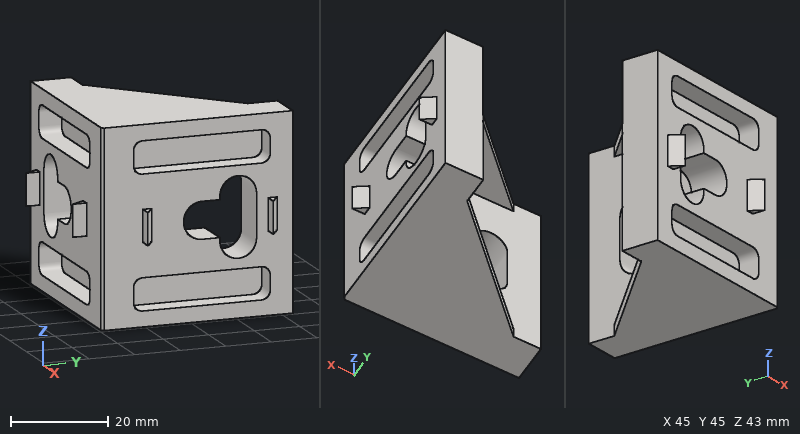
import cadquery as cq

overall_length = 45.0
tooth_length = 3.0
leg_length = overall_length - tooth_length
leg_thickness = 9.0
height = 43.0
corner_chamfer = 0.5

web_thickness = 2.5
web_end_distance = 6.55

tooth_width = 7.0
tooth_base = 2.0
tooth_end_distance = 5.5
tooth_spacing = 27.5

slot_width = 8.0
slot_end_distance = 8.0
cross_slot_length = 17.5
stem_reach = 15.98

recess_length = 30.0
recess_width = 7.05
recess_depth = 5.0
recess_corner_radius = 2.0
recess_end_distance = 5.0
recess_offset = 14.55

free_end = -leg_length
MIRROR_NORMAL = (1, 1, 0)


def on_both_legs(shape):
    """Return the shape together with its copy on the other leg."""
    return shape.union(shape.mirror(MIRROR_NORMAL))


def front_plane():
    """Outer face of the -X leg; local Y is up and the normal points outward."""
    return cq.Workplane("XZ")


def make_leg():
    block = cq.Workplane("XY").box(leg_length, leg_thickness, height, centered=(False, False, True))
    return block.translate((free_end, 0, 0))


def make_web(bottom):
    slope_start = free_end + web_end_distance
    outline = [
        (0, 0),
        (slope_start, 0),
        (slope_start, leg_thickness),
        (-leg_thickness, -slope_start),
        (0, -slope_start),
    ]
    return cq.Workplane("XY").workplane(offset=bottom).polyline(outline).close().extrude(web_thickness)


def make_tooth(tip_x):
    outline = [(tip_x - tooth_base, 0), (tip_x, 0), (tip_x, -tooth_length)]
    return cq.Workplane("XY").polyline(outline).close().extrude(tooth_width / 2, both=True)


def make_mounting_hole():
    radius = slot_width / 2
    cross_x = free_end + slot_end_distance + radius
    stem_end_x = free_end + slot_end_distance + stem_reach - radius
    cross_slot = (
        front_plane().center(cross_x, 0).slot2D(cross_slot_length, slot_width, 90).extrude(-leg_thickness)
    )
    stem = (
        front_plane()
        .moveTo(cross_x, -radius)
        .lineTo(stem_end_x, -radius)
        .threePointArc((stem_end_x + radius, 0), (stem_end_x, radius))
        .lineTo(cross_x, radius)
        .close()
        .extrude(-leg_thickness)
    )
    return cross_slot.union(stem)


def make_recess(center_z):
    center_x = free_end + recess_end_distance + recess_length / 2
    return (
        front_plane()
        .center(center_x, center_z)
        .rect(recess_length, recess_width)
        .extrude(-recess_depth)
        .edges("|Y")
        .fillet(recess_corner_radius)
    )


body = on_both_legs(make_leg())
for web_bottom in (-height / 2, height / 2 - web_thickness):
    body = body.union(make_web(web_bottom))
body = body.edges(cq.selectors.NearestToPointSelector((0, 0, 0))).chamfer(corner_chamfer)

body = body.cut(on_both_legs(make_mounting_hole()))
for side in (-1, 1):
    body = body.cut(on_both_legs(make_recess(side * recess_offset)))

first_tip = free_end + tooth_end_distance
for tip in (first_tip, first_tip + tooth_spacing):
    body = body.union(on_both_legs(make_tooth(tip)))

result = body